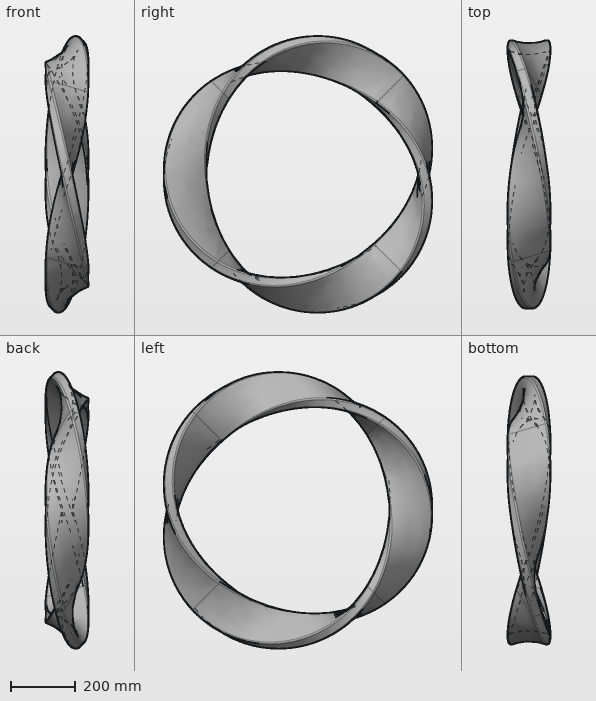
import cadquery as cq
import math

ring_radius = 368.0
band_width = 131.5
band_thickness = 34.0
edge_radius = 5.0

half_turns = 3
segment_count = 4
seam_angle = 45
steps_per_segment = 12
segment_angle = 360 / segment_count


def band_section(ring_angle):
    """Round-cornered section at a ring angle from -Y toward +Z; it lies radially at zero."""
    angle = math.radians(ring_angle)
    roll = angle * half_turns / 2
    radial = cq.Vector(0, -math.cos(angle), math.sin(angle))
    tangent = cq.Vector(0, math.sin(angle), math.cos(angle))
    axial = cq.Vector(1, 0, 0)
    width_direction = radial * math.cos(roll) - axial * math.sin(roll)
    plane = cq.Plane(origin=radial * ring_radius, xDir=width_direction, normal=tangent)
    rectangle = cq.Face.makePlane(length=band_thickness, width=band_width)
    outline = rectangle.fillet2D(edge_radius, rectangle.Vertices()).outerWire()
    return outline.moved(cq.Location(plane))


def band_segment(start_angle):
    """Smooth solid through evenly spaced sections over one segment of the ring."""
    step = segment_angle / steps_per_segment
    sections = [band_section(start_angle + i * step) for i in range(steps_per_segment + 1)]
    return cq.Workplane(cq.Solid.makeLoft(sections))


result = band_segment(seam_angle)
for index in range(1, segment_count):
    result = result.union(band_segment(seam_angle + index * segment_angle))